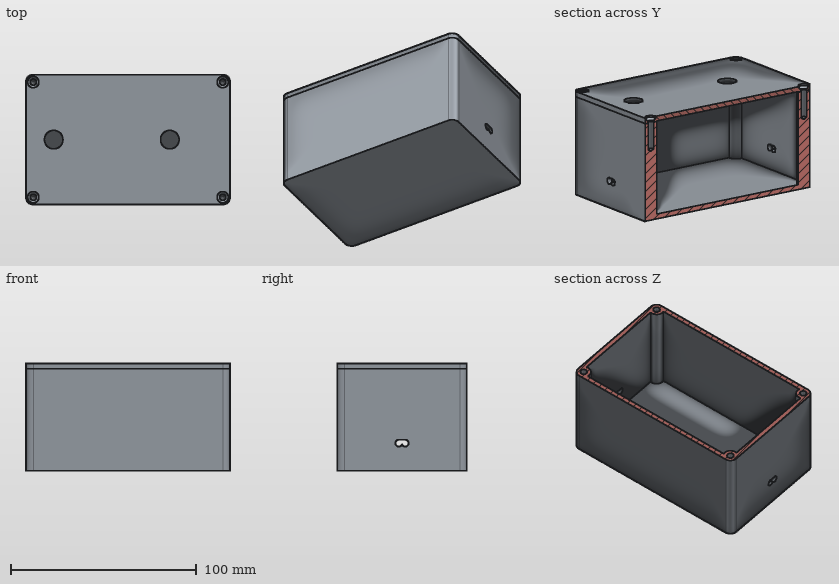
import cadquery as cq
import math

length = 110.0
width = 70.0
height = 58.0
lid_thickness = 3.0
base_height = height - lid_thickness
corner_radius = 4.0

wall = 3.0
floor = 3.0
post_radius = corner_radius

screw_diameter = 3.4
head_diameter = 6.1
head_recess_depth = 1.0
countersink_depth = (head_diameter - screw_diameter) / 2
screw_hole_depth = 15.0
drill_tip_angle = 118.0
drill_tip_depth = screw_diameter / 2 / math.tan(math.radians(drill_tip_angle / 2))
screw_points = [
    (side_x * (length / 2 - corner_radius), side_y * (width / 2 - corner_radius))
    for side_x in (-1, 1)
    for side_y in (-1, 1)
]

panel_hole_diameter = 10.0
panel_hole_points = [(-40.0, 0.0), (22.5, 0.0)]

cable_lobe_diameter = 3.6
cable_lobe_spacing = 3.4
cable_height = 15.0


def rounded_block(bottom, block_height):
    """Block with the enclosure's full outline and rounded vertical corners."""
    return (
        cq.Workplane("XY", origin=(0, 0, bottom))
        .rect(length, width)
        .extrude(block_height)
        .edges("|Z")
        .fillet(corner_radius)
    )


def corner_posts():
    """Round screw posts rising from the floor to the rim of the base."""
    return cq.Workplane("XY").pushPoints(screw_points).circle(post_radius).extrude(base_height)


def blind_screw_hole(point):
    """Blind hole in a post, ending in a conical drill tip."""
    radius = screw_diameter / 2
    bottom = base_height - screw_hole_depth
    return (
        cq.Workplane("XZ", origin=(*point, 0))
        .moveTo(0, base_height)
        .lineTo(radius, base_height)
        .lineTo(radius, bottom)
        .lineTo(0, bottom - drill_tip_depth)
        .close()
        .revolve(360, (0, 0), (0, 1))
    )


def lid_screw_hole(point):
    """Clearance hole with a countersink and a short straight recess for the screw head."""
    screw_radius = screw_diameter / 2
    head_radius = head_diameter / 2
    recess_floor = height - head_recess_depth
    return (
        cq.Workplane("XZ", origin=(*point, 0))
        .moveTo(0, base_height)
        .lineTo(screw_radius, base_height)
        .lineTo(screw_radius, recess_floor - countersink_depth)
        .lineTo(head_radius, recess_floor)
        .lineTo(head_radius, height)
        .lineTo(0, height)
        .close()
        .revolve(360, (0, 0), (0, 1))
    )


def cable_opening():
    """Two overlapping round lobes, with the notch above them filled out to a flat top."""
    end_plane = cq.Workplane("YZ", origin=(-length / 2, 0, cable_height))
    lobe_radius = cable_lobe_diameter / 2
    opening = (
        end_plane.moveTo(0, lobe_radius / 2)
        .rect(cable_lobe_spacing, lobe_radius)
        .extrude(length)
    )
    for side in (-1, 1):
        lobe = end_plane.moveTo(side * cable_lobe_spacing / 2, 0).circle(lobe_radius).extrude(length)
        opening = opening.union(lobe)
    return opening


def make_base():
    cavity = (
        cq.Workplane("XY", origin=(0, 0, floor))
        .rect(length - 2 * wall, width - 2 * wall)
        .extrude(base_height - floor)
        .edges("|Z")
        .fillet(corner_radius - wall)
    )
    base = rounded_block(0, base_height).cut(cavity).union(corner_posts())
    for point in screw_points:
        base = base.cut(blind_screw_hole(point))
    return base.cut(cable_opening())


def make_lid():
    lid = rounded_block(base_height, lid_thickness)
    panel_holes = (
        cq.Workplane("XY", origin=(0, 0, base_height))
        .pushPoints(panel_hole_points)
        .circle(panel_hole_diameter / 2)
        .extrude(lid_thickness)
    )
    lid = lid.cut(panel_holes)
    for point in screw_points:
        lid = lid.cut(lid_screw_hole(point))
    return lid


base = make_base()
lid = make_lid()

result = cq.Compound.makeCompound([base.val(), lid.val()])